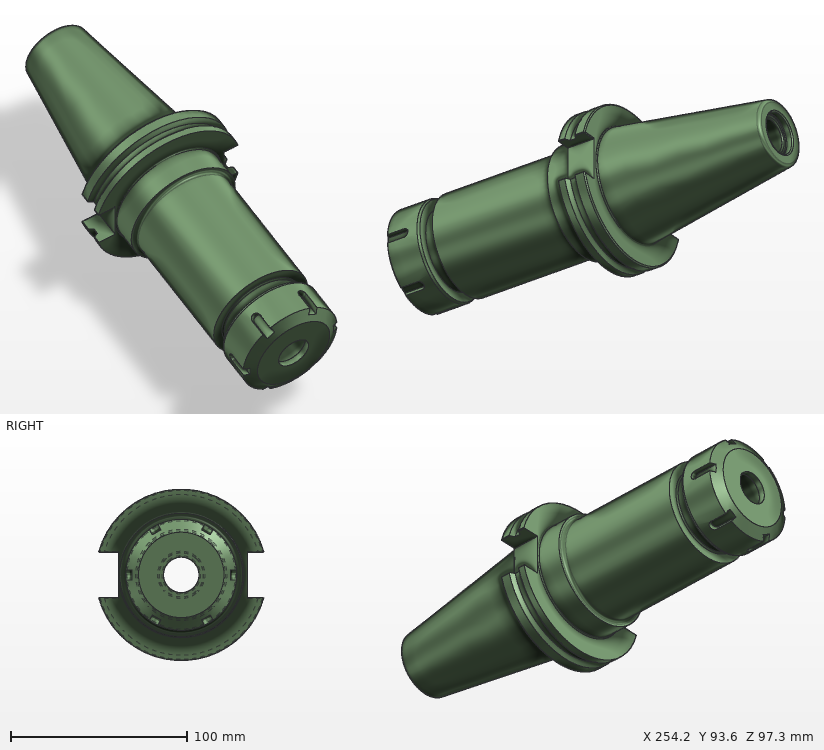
import cadquery as cq
import math

TOTAL_LENGTH = 254.2

TAPER_RATE = 7 / 24
GAUGE_DIAMETER = 70.0
GAUGE_X = 102.0
SMALL_END_DIAMETER = GAUGE_DIAMETER - TAPER_RATE * GAUGE_X
SMALL_END_ROUND = 2.0

FLANGE_DIAMETER = 97.3
FLANGE_FILLET = 0.8
FLANGE_START_X = GAUGE_X + FLANGE_FILLET
FLANGE_END_X = 120.7
FLANGE_CHAMFER = 0.8
GROOVE_FLOOR_DIAMETER = 91.2
GROOVE_FLOOR_START_X = 111.0
GROOVE_FLOOR_END_X = 114.6
GROOVE_FLANK_ANGLE = 30.0

DRIVE_SLOT_WIDTH = 25.7
DRIVE_SLOT_FRONT_FLOOR = 35.5
DRIVE_SLOT_BACK_FLOOR = 37.5
DRIVE_SLOT_CHAMFER = 0.5

COLLAR_END_X = 136.7
SHANK_DIAMETER = 63.0
SHANK_END_X = 219.0
COLLAR_FILLET = 2.0
NOSE_ROOT_DIAMETER = 51.9
NOSE_DIAMETER = 50.0
NOSE_END_X = 250.4

BORE_DIAMETER = 20.0
BORE_MOUTH_DIAMETER = 21.9
PILOT_DIAMETER = 25.5
PILOT_MOUTH_DIAMETER = 27.0
PILOT_DEPTH = 4.8
PILOT_FLOOR_DIAMETER = 25.0
PILOT_FLOOR_BEVEL = 0.8

NUT_DIAMETER = SHANK_DIAMETER
NUT_START_X = 228.2
NUT_CHAMFER_LENGTH = 1.5
NUT_CHAMFER_DEPTH = 0.8
NUT_BEVEL_START_X = 250.4
NUT_FACE_DIAMETER = 48.5

SPANNER_SLOT_COUNT = 6
SPANNER_SLOT_WIDTH = 5.5
SPANNER_SLOT_START_X = 236.0
SPANNER_SLOT_FLOOR = 28.0


def revolve_about_x(profile):
    """Turn a closed profile, drawn as (x, radius), into a solid about the X axis."""
    return profile.close().revolve(360, (0, 0, 0), (1, 0, 0))


def holder_body():
    """Outer turned shape of the holder, without its bore and slots."""
    small_radius = SMALL_END_DIAMETER / 2
    gauge_radius = GAUGE_DIAMETER / 2
    flange_radius = FLANGE_DIAMETER / 2
    groove_radius = GROOVE_FLOOR_DIAMETER / 2
    shank_radius = SHANK_DIAMETER / 2
    root_radius = NOSE_ROOT_DIAMETER / 2
    nose_radius = NOSE_DIAMETER / 2
    flank_length = (flange_radius - groove_radius) * math.tan(math.radians(GROOVE_FLANK_ANGLE))
    profile = (
        cq.Workplane("XZ")
        .moveTo(0, 0)
        .lineTo(0, small_radius)
        .lineTo(GAUGE_X, gauge_radius)
        .radiusArc((FLANGE_START_X, gauge_radius + FLANGE_FILLET), -FLANGE_FILLET)
        .lineTo(FLANGE_START_X, flange_radius - FLANGE_CHAMFER)
        .lineTo(FLANGE_START_X + FLANGE_CHAMFER, flange_radius)
        .lineTo(GROOVE_FLOOR_START_X - flank_length, flange_radius)
        .lineTo(GROOVE_FLOOR_START_X, groove_radius)
        .lineTo(GROOVE_FLOOR_END_X, groove_radius)
        .lineTo(GROOVE_FLOOR_END_X + flank_length, flange_radius)
        .lineTo(FLANGE_END_X, flange_radius)
        .lineTo(FLANGE_END_X, gauge_radius + FLANGE_FILLET)
        .radiusArc((FLANGE_END_X + FLANGE_FILLET, gauge_radius), -FLANGE_FILLET)
        .lineTo(COLLAR_END_X, gauge_radius)
        .lineTo(COLLAR_END_X, shank_radius + COLLAR_FILLET)
        .radiusArc((COLLAR_END_X + COLLAR_FILLET, shank_radius), -COLLAR_FILLET)
        .lineTo(SHANK_END_X, shank_radius)
        .lineTo(SHANK_END_X, root_radius)
        .lineTo(SHANK_END_X + root_radius - nose_radius, nose_radius)
        .lineTo(NOSE_END_X, nose_radius)
        .lineTo(NOSE_END_X, 0)
    )
    return revolve_about_x(profile).faces("<X").edges().fillet(SMALL_END_ROUND)


def holder_bore():
    """Bore from the small end: a flat-floored pilot and a through hole, both with bevelled mouths."""
    bore_radius = BORE_DIAMETER / 2
    bore_mouth_radius = BORE_MOUTH_DIAMETER / 2
    pilot_radius = PILOT_DIAMETER / 2
    pilot_mouth_radius = PILOT_MOUTH_DIAMETER / 2
    profile = (
        cq.Workplane("XZ")
        .moveTo(0, 0)
        .lineTo(0, pilot_mouth_radius)
        .lineTo(pilot_mouth_radius - pilot_radius, pilot_radius)
        .lineTo(PILOT_DEPTH - PILOT_FLOOR_BEVEL, pilot_radius)
        .lineTo(PILOT_DEPTH, PILOT_FLOOR_DIAMETER / 2)
        .lineTo(PILOT_DEPTH, bore_mouth_radius)
        .lineTo(PILOT_DEPTH + bore_mouth_radius - bore_radius, bore_radius)
        .lineTo(NOSE_END_X, bore_radius)
        .lineTo(NOSE_END_X, 0)
    )
    return revolve_about_x(profile)


def drive_slot(side, floor):
    """Solid that clears one drive slot; side is -1 for -Y and +1 for +Y.

    Its walls flare out by the slot chamfer at the taper-side face and at the rim of the flange.
    """
    flange_radius = FLANGE_DIAMETER / 2
    wall_z = DRIVE_SLOT_WIDTH / 2
    rim_flare_y = math.sqrt(flange_radius**2 - wall_z**2) - DRIVE_SLOT_CHAMFER
    rim_flare_z = wall_z + flange_radius - rim_flare_y
    flared_at_face = (
        cq.Workplane("XZ", origin=(0, side * floor, 0))
        .moveTo(FLANGE_START_X, -wall_z - DRIVE_SLOT_CHAMFER)
        .lineTo(FLANGE_START_X + DRIVE_SLOT_CHAMFER, -wall_z)
        .lineTo(FLANGE_END_X, -wall_z)
        .lineTo(FLANGE_END_X, wall_z)
        .lineTo(FLANGE_START_X + DRIVE_SLOT_CHAMFER, wall_z)
        .lineTo(FLANGE_START_X, wall_z + DRIVE_SLOT_CHAMFER)
        .close()
        .extrude(-side * (flange_radius - floor))
    )
    flared_at_rim = (
        cq.Workplane("YZ", origin=(FLANGE_START_X, 0, 0))
        .moveTo(side * floor, -wall_z)
        .lineTo(side * rim_flare_y, -wall_z)
        .lineTo(side * flange_radius, -rim_flare_z)
        .lineTo(side * flange_radius, rim_flare_z)
        .lineTo(side * rim_flare_y, wall_z)
        .lineTo(side * floor, wall_z)
        .close()
        .extrude(FLANGE_END_X - FLANGE_START_X)
    )
    return flared_at_face.union(flared_at_rim)


def make_holder():
    return (
        holder_body()
        .cut(holder_bore())
        .cut(drive_slot(-1, DRIVE_SLOT_FRONT_FLOOR))
        .cut(drive_slot(1, DRIVE_SLOT_BACK_FLOOR))
    )


def nut_body():
    """Turned ring with a recess for the nose and an opening in line with the bore."""
    nut_radius = NUT_DIAMETER / 2
    nose_radius = NOSE_DIAMETER / 2
    bore_radius = BORE_DIAMETER / 2
    profile = (
        cq.Workplane("XZ")
        .moveTo(NUT_START_X, nose_radius)
        .lineTo(NUT_START_X, nut_radius - NUT_CHAMFER_DEPTH)
        .lineTo(NUT_START_X + NUT_CHAMFER_LENGTH, nut_radius)
        .lineTo(NUT_BEVEL_START_X, nut_radius)
        .lineTo(TOTAL_LENGTH, NUT_FACE_DIAMETER / 2)
        .lineTo(TOTAL_LENGTH, bore_radius)
        .lineTo(NOSE_END_X, bore_radius)
        .lineTo(NOSE_END_X, nose_radius)
    )
    return revolve_about_x(profile)


def spanner_slot(angle):
    """Flat-floored slot with a round inner end, open at the nut face."""
    end_radius = SPANNER_SLOT_WIDTH / 2
    arc_x = SPANNER_SLOT_START_X + end_radius
    return (
        cq.Workplane("XZ", origin=(0, -SPANNER_SLOT_FLOOR, 0))
        .moveTo(TOTAL_LENGTH, -end_radius)
        .lineTo(arc_x, -end_radius)
        .threePointArc((SPANNER_SLOT_START_X, 0), (arc_x, end_radius))
        .lineTo(TOTAL_LENGTH, end_radius)
        .close()
        .extrude(NUT_DIAMETER / 2 - SPANNER_SLOT_FLOOR)
        .rotate((0, 0, 0), (1, 0, 0), angle)
    )


def make_nut():
    nut = nut_body()
    for index in range(SPANNER_SLOT_COUNT):
        nut = nut.cut(spanner_slot(index * 360 / SPANNER_SLOT_COUNT))
    return nut


holder = make_holder()
nut = make_nut()
result = cq.Compound.makeCompound([holder.val(), nut.val()])